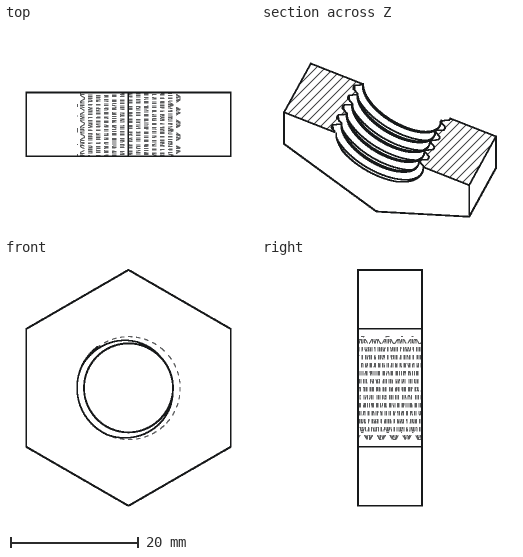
import cadquery as cq

corner_distance = 36.95
thickness = 10.0

thread_turns = 5
pitch = thickness / thread_turns
bore_radius = 6.95
root_radius = 8.05
crest_width = pitch / 8
root_width = pitch / 4
mouth_root_angle = 200.0
end_overrun = pitch
bore_overlap = 0.2


def hexagonal_blank():
    """Bored hexagonal prism with two corners on the Z axis."""
    return (
        cq.Workplane("XY")
        .polygon(6, corner_distance)
        .circle(bore_radius)
        .extrude(thickness)
        .rotate((0, 0, 0), (0, 0, 1), 90)
    )


def thread_cutter():
    """Helical trapezoidal groove along Z, starting below the lower face."""
    flank_run = (pitch - crest_width - root_width) / 2
    flank_slope = flank_run / (root_radius - bore_radius)
    inner_half = root_width / 2 + flank_run + flank_slope * bore_overlap
    inner_radius = bore_radius - bore_overlap
    helix = cq.Wire.makeHelix(pitch, thickness + 2 * end_overrun, bore_radius)
    return (
        cq.Workplane("XZ")
        .polyline([
            (inner_radius, -inner_half),
            (root_radius, -root_width / 2),
            (root_radius, root_width / 2),
            (inner_radius, inner_half),
        ])
        .close()
        .sweep(cq.Workplane(helix), isFrenet=True)
        .translate((0, 0, -end_overrun))
        .rotate((0, 0, 0), (0, 0, 1), -mouth_root_angle)
    )


result = (
    hexagonal_blank()
    .cut(thread_cutter())
    .rotate((0, 0, 0), (1, 0, 0), -90)
    .translate((0, -thickness / 2, 0))
)